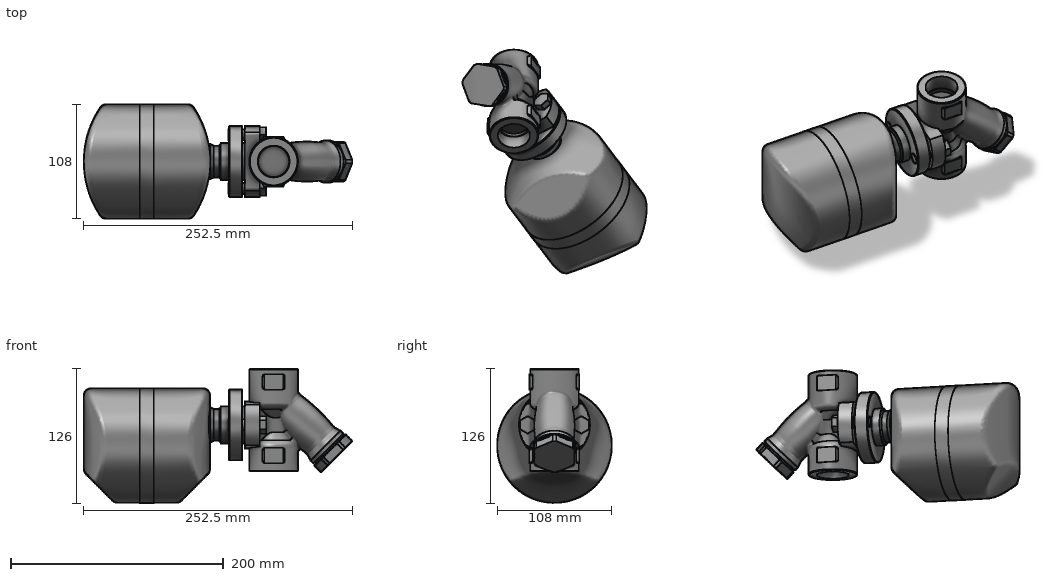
import cadquery as cq
import math


HOUSING_LEFT = -178.5
HOUSING_LENGTH = 119.0
HOUSING_RIGHT = HOUSING_LEFT + HOUSING_LENGTH
HOUSING_DROP = 19.5
BAND_DIAMETER = 108.0
SHELL_DIAMETER = 107.8
BAND_LEFT = -125.7
BAND_RIGHT = -112.9
END_BULGE_RADIUS = 91
BEVEL_SIZE = 29.3
HOUSING_FILLET = 7.0

NECK_DIAMETER = 30.0
NECK_ROOT_DIAMETER = 33.0
NECK_ROOT_LENGTH = 3.3
NECK_OVERLAP = 2.5
HUB_DIAMETER = 35.0
HUB_LEFT = -49.7
HUB_BEVEL = 1.5
DISK_DIAMETER = 67.0
DISK_LEFT = -42.2
DISK_RIGHT = -29.3
DISK_CHAMFER = 0.8
PLATE_LEFT = -27.0
PLATE_RIGHT = -13.1
PLATE_APEX = 22.2
PLATE_EAVE_Y = 25.2
PLATE_EAVE = 20.0
PLATE_CORNER_Y = 27.5

HEX_SIDES = 6

BOLT_SPREAD = 25.2
BOLT_DIAMETER = 10.5
BOLT_TIP_DIAMETER = 10
BOLT_TIP_LENGTH = 0.5
BOLT_HEAD_HEIGHT = 6.0
BOLT_HEAD_ACROSS_CORNERS = 16.5

PIPE_DIAMETER = 46.0
PIPE_TOP = 52.5
PIPE_BOTTOM = -43.7
PIPE_CHAMFER = 0.8
BORE_DIAMETER = 30.0
BORE_DEPTH = 15.0
BORE_END_DIAMETER = 29.0
BORE_END_DEPTH = 19.0
SHOULDER_TOP = 20.2
SHOULDER_BOTTOM = -21.5
SHOULDER_RADIUS = 7.3
CONE_RADIUS = 18.2
CONE_HEIGHT = 14.6
WAIST_RADIUS = 14.0
WAIST_HEIGHT = 6.8

PAD_WIDTH = 21.0
PAD_HEIGHT = 14.5
PAD_FACE_Y = 23.5
PAD_EDGE = 1.5
PAD_CORNER_RADIUS = 2.5
PAD_CENTRES_Z = (40.5, -28.8)

BRANCH_ANGLE = 45
BRANCH_ORIGIN_Z = 29.3
BRANCH_START = 7.5
BRANCH_NARROW_RADIUS = 17.2
BRANCH_NARROW_END = 19.7
BRANCH_BELLY_RADIUS = 19.0
BRANCH_BELLY = 40.5
BRANCH_RADIUS = 18.2
BELLY_END = 59.0
BRANCH_END = 63
COLLAR_LIP_RADIUS = 19.2
COLLAR_LIP = 66.7
COLLAR_RADIUS = 20.0
COLLAR_START = 69.0
COLLAR_END = 73.0
NUT_START = 75.0
NUT_END = 83.8
NUT_DIAMETER = 41.7
NUT_ACROSS_FLATS = 37.5
JOINT_FILLET = 2.5


def rod(diameter, start, end, y=0):
    """Round bar along X between two places."""
    return cq.Workplane("YZ", origin=(start, y, 0)).circle(diameter / 2).extrude(end - start)


def drum(diameter, start, end):
    """Round bar along X on the lowered housing axis."""
    return rod(diameter, start, end).translate((0, 0, -HOUSING_DROP))


def housing():
    """Drum trimmed to bulged ends in plan and bevels in side outline, with a centre band."""
    half_width = BAND_DIAMETER / 2
    sag = END_BULGE_RADIUS - math.sqrt(END_BULGE_RADIUS**2 - half_width**2)
    plan = (
        cq.Workplane("XY", origin=(0, 0, -HOUSING_DROP))
        .moveTo(HOUSING_LEFT + sag, -half_width)
        .lineTo(HOUSING_RIGHT - sag, -half_width)
        .threePointArc((HOUSING_RIGHT, 0), (HOUSING_RIGHT - sag, half_width))
        .lineTo(HOUSING_LEFT + sag, half_width)
        .threePointArc((HOUSING_LEFT, 0), (HOUSING_LEFT + sag, -half_width))
        .close()
        .extrude(half_width, both=True)
    )
    bottom = -HOUSING_DROP - half_width
    top = bottom + BAND_DIAMETER
    side = (
        cq.Workplane("XZ")
        .polyline(
            [
                (HOUSING_LEFT, top),
                (HOUSING_LEFT, bottom + BEVEL_SIZE),
                (HOUSING_LEFT + BEVEL_SIZE, bottom),
                (HOUSING_RIGHT - BEVEL_SIZE, bottom),
                (HOUSING_RIGHT, bottom + BEVEL_SIZE),
                (HOUSING_RIGHT, top),
            ]
        )
        .close()
        .extrude(half_width, both=True)
    )
    shell = drum(SHELL_DIAMETER, HOUSING_LEFT, HOUSING_RIGHT).intersect(plan).intersect(side)
    shell = shell.edges().fillet(HOUSING_FILLET)
    return shell.union(drum(BAND_DIAMETER, BAND_LEFT, BAND_RIGHT))


def stem():
    """Flared neck sunk into the housing, then a hub that carries the clamping disk."""
    neck_start = HOUSING_RIGHT - NECK_OVERLAP
    neck_radius = NECK_DIAMETER / 2
    root_radius = NECK_ROOT_DIAMETER / 2
    neck = (
        cq.Workplane("XY")
        .moveTo(neck_start, 0)
        .lineTo(neck_start, root_radius)
        .lineTo(HOUSING_RIGHT, root_radius)
        .lineTo(HOUSING_RIGHT + NECK_ROOT_LENGTH, neck_radius)
        .lineTo(HUB_LEFT - HUB_BEVEL, neck_radius)
        .lineTo(HUB_LEFT, neck_radius + HUB_BEVEL)
        .lineTo(HUB_LEFT, 0)
        .close()
        .revolve(360, (0, 0, 0), (1, 0, 0))
    )
    hub = rod(HUB_DIAMETER, HUB_LEFT, PLATE_LEFT)
    disk = rod(DISK_DIAMETER, DISK_LEFT, DISK_RIGHT).edges().chamfer(DISK_CHAMFER)
    return neck.union(hub).union(disk)


def plate():
    """Round plate cut above and below by a shallow roof with a small bevel at each eave."""
    radius = DISK_DIAMETER / 2
    corner = math.sqrt(radius**2 - PLATE_CORNER_Y**2)
    return (
        cq.Workplane("YZ", origin=(PLATE_LEFT, 0, 0))
        .moveTo(0, PLATE_APEX)
        .lineTo(PLATE_EAVE_Y, PLATE_EAVE)
        .lineTo(PLATE_CORNER_Y, corner)
        .threePointArc((radius, 0), (PLATE_CORNER_Y, -corner))
        .lineTo(PLATE_EAVE_Y, -PLATE_EAVE)
        .lineTo(0, -PLATE_APEX)
        .lineTo(-PLATE_EAVE_Y, -PLATE_EAVE)
        .lineTo(-PLATE_CORNER_Y, -corner)
        .threePointArc((-radius, 0), (-PLATE_CORNER_Y, corner))
        .lineTo(-PLATE_EAVE_Y, PLATE_EAVE)
        .close()
        .extrude(PLATE_RIGHT - PLATE_LEFT)
    )


def bolt(y):
    """Bolt along X with a hexagon head behind the plate and its tip through the disk."""
    shank = rod(BOLT_DIAMETER, DISK_LEFT, PLATE_RIGHT, y)
    tip = rod(BOLT_TIP_DIAMETER, DISK_LEFT - BOLT_TIP_LENGTH, DISK_LEFT, y)
    head = (
        cq.Workplane("YZ", origin=(PLATE_RIGHT, y, 0))
        .transformed(rotate=(0, 0, 90))
        .polygon(HEX_SIDES, BOLT_HEAD_ACROSS_CORNERS)
        .extrude(BOLT_HEAD_HEIGHT)
    )
    return shank.union(tip).union(head)


def pipe():
    """Vertical pipe that narrows to a waist around the stem axis."""
    radius = PIPE_DIAMETER / 2
    chamfered = radius - PIPE_CHAMFER
    return (
        cq.Workplane("XZ")
        .moveTo(0, PIPE_BOTTOM)
        .lineTo(chamfered, PIPE_BOTTOM)
        .lineTo(radius, PIPE_BOTTOM + PIPE_CHAMFER)
        .lineTo(radius, SHOULDER_BOTTOM)
        .radiusArc((CONE_RADIUS, -CONE_HEIGHT), -SHOULDER_RADIUS)
        .lineTo(WAIST_RADIUS, -WAIST_HEIGHT)
        .lineTo(WAIST_RADIUS, WAIST_HEIGHT)
        .lineTo(CONE_RADIUS, CONE_HEIGHT)
        .radiusArc((radius, SHOULDER_TOP), -SHOULDER_RADIUS)
        .lineTo(radius, PIPE_TOP - PIPE_CHAMFER)
        .lineTo(chamfered, PIPE_TOP)
        .lineTo(0, PIPE_TOP)
        .close()
        .revolve(360, (0, 0, 0), (0, 1, 0))
    )


def web():
    """Flat-sided block that joins the waist of the pipe to the plate."""
    length = -PLATE_RIGHT
    block = cq.Workplane("XY").box(length, 2 * WAIST_RADIUS, 2 * CONE_HEIGHT)
    return block.translate((-length / 2, 0, 0))


def pad(z):
    """Flat pad with sloping sides that shows on both sides of the pipe."""
    half_width = PAD_WIDTH / 2
    half_face = half_width - PAD_EDGE
    foot_y = math.sqrt((PIPE_DIAMETER / 2) ** 2 - half_width**2)
    section = [
        (half_width, foot_y),
        (half_face, PAD_FACE_Y),
        (-half_face, PAD_FACE_Y),
        (-half_width, foot_y),
        (-half_width, -foot_y),
        (-half_face, -PAD_FACE_Y),
        (half_face, -PAD_FACE_Y),
        (half_width, -foot_y),
    ]
    bar = cq.Workplane("XY", origin=(0, 0, z)).polyline(section).close()
    bar = bar.extrude(PAD_HEIGHT / 2, both=True)
    outline = (
        cq.Workplane("XZ", origin=(0, 0, z))
        .rect(PAD_WIDTH, PAD_HEIGHT)
        .extrude(PAD_FACE_Y, both=True)
        .edges("|Y")
        .fillet(PAD_CORNER_RADIUS)
    )
    return bar.intersect(outline)


def bore(z_end, direction):
    """Blind hole that starts at z_end and narrows a little near its floor."""
    start = cq.Workplane("XY", origin=(0, 0, z_end))
    hole = start.circle(BORE_DIAMETER / 2).extrude(direction * BORE_DEPTH)
    hole_end = start.circle(BORE_END_DIAMETER / 2).extrude(direction * BORE_END_DEPTH)
    return hole.union(hole_end)


def along_branch(shape):
    """Carry a shape built along Z from the origin onto the branch axis."""
    tilt = 90 + BRANCH_ANGLE
    return shape.rotate((0, 0, 0), (0, 1, 0), tilt).translate((0, 0, BRANCH_ORIGIN_Z))


def branch_tube():
    """Slightly bellied tube with a collar and a short groove before the nut."""
    return along_branch(
        cq.Workplane("XZ")
        .moveTo(0, BRANCH_START)
        .lineTo(BRANCH_NARROW_RADIUS, BRANCH_START)
        .lineTo(BRANCH_NARROW_RADIUS, BRANCH_NARROW_END)
        .threePointArc((BRANCH_BELLY_RADIUS, BRANCH_BELLY), (BRANCH_RADIUS, BELLY_END))
        .lineTo(BRANCH_RADIUS, BRANCH_END)
        .lineTo(COLLAR_LIP_RADIUS, COLLAR_LIP)
        .lineTo(COLLAR_RADIUS, COLLAR_START)
        .lineTo(COLLAR_RADIUS, COLLAR_END)
        .lineTo(BRANCH_RADIUS, COLLAR_END)
        .lineTo(BRANCH_RADIUS, NUT_START)
        .lineTo(0, NUT_START)
        .close()
        .revolve(360, (0, 0, 0), (0, 1, 0))
    )


def branch_nut():
    """Hexagon with its corners turned down to a cylinder."""
    height = NUT_END - NUT_START
    across_corners = NUT_ACROSS_FLATS / math.cos(math.pi / HEX_SIDES)
    hexagon = cq.Workplane("XY").polygon(HEX_SIDES, across_corners).extrude(height)
    blank = cq.Workplane("XY").circle(NUT_DIAMETER / 2).extrude(height)
    return along_branch(hexagon.intersect(blank).translate((0, 0, NUT_START)))


def pipe_with_branch():
    """Pipe and branch with a rounded joint along their free-form meeting curve."""
    joined = pipe().union(branch_tube())
    joint = joined.edges("not (%LINE or %CIRCLE)")
    return joint.fillet(JOINT_FILLET)


valve = pipe_with_branch().union(web())
for pad_z in PAD_CENTRES_Z:
    valve = valve.union(pad(pad_z))

result = valve.union(branch_nut()).union(plate()).union(stem()).union(housing())
for side in (-1, 1):
    result = result.union(bolt(side * BOLT_SPREAD))
result = result.cut(bore(PIPE_TOP, -1)).cut(bore(PIPE_BOTTOM, 1))